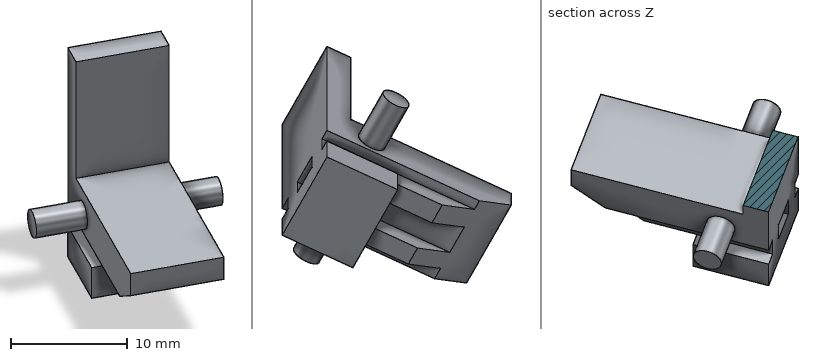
import cadquery as cq

total_length = 17.78
total_height = 21.5
body_width = 8.38
wall_thickness = 2.32
shelf_top = 9.5
shelf_underside = 5.2
tip_bottom = 7.22

foot_length = 6.82
foot_height = 3.15
foot_overhang = 0.02

rail_length = 11.59
front_rail_inset = 0.92
front_rail_width = 1.91
back_rail_inset = 1.12
back_rail_width = 1.72

pin_diameter = 2.52
pin_length = 16.8
pin_x = 4.3
pin_z = 7.0
body_offset = 0.39

body_front = body_offset - body_width / 2
body_back = body_offset + body_width / 2


def extrude_profile(points, front, width):
    """Extrude an XZ outline toward +Y from the given front Y."""
    return cq.Workplane("XZ", origin=(0, front, 0)).polyline(points).close().extrude(-width)


slant_run_per_height = (total_length - rail_length) / (tip_bottom - foot_height)
shelf_underside_length = rail_length + (shelf_underside - foot_height) * slant_run_per_height

body_profile = [
    (0, shelf_underside),
    (shelf_underside_length, shelf_underside),
    (total_length, tip_bottom),
    (total_length, shelf_top),
    (wall_thickness, shelf_top),
    (wall_thickness, total_height),
    (0, total_height),
]
rail_profile = [
    (0, foot_height),
    (rail_length, foot_height),
    (shelf_underside_length, shelf_underside),
    (0, shelf_underside),
]

body = extrude_profile(body_profile, body_front, body_width)
foot = (
    cq.Workplane("XY", origin=(0, body_front - foot_overhang, 0))
    .box(foot_length, body_width + foot_overhang, foot_height, centered=False)
)
front_rail = extrude_profile(rail_profile, body_front + front_rail_inset, front_rail_width)
back_rail_front = body_back - back_rail_inset - back_rail_width
back_rail = extrude_profile(rail_profile, back_rail_front, back_rail_width)
pin = (
    cq.Workplane("XZ", origin=(pin_x, 0, pin_z))
    .circle(pin_diameter / 2)
    .extrude(pin_length / 2, both=True)
)

result = body.union(foot).union(front_rail).union(back_rail).union(pin)